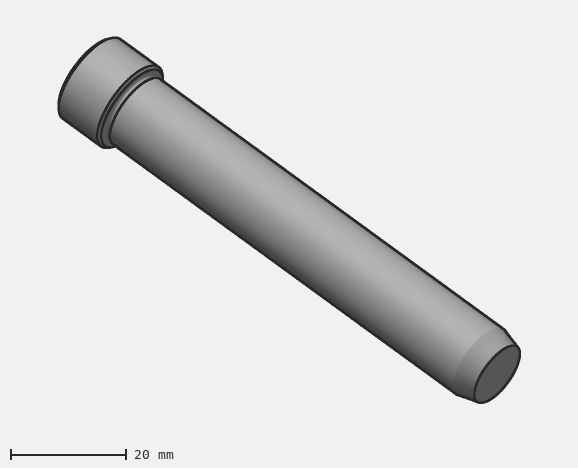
import cadquery as cq
import math

length = 95.0
head_radius = 17.0 / 2
head_length = 10.0
head_chamfer = 0.5
shank_radius = 14.0 / 2

groove_width = 1.0
groove_depth = 0.5

tip_length = 4.0
tip_angle = 15.0
tip_radius = shank_radius - tip_length * math.tan(math.radians(tip_angle))

groove_end = head_length + groove_width
groove_middle = head_length + groove_width / 2

profile = (
    cq.Workplane("XY")
    .moveTo(0, 0)
    .lineTo(0, head_radius - head_chamfer)
    .lineTo(head_chamfer, head_radius)
    .lineTo(head_length - head_chamfer, head_radius)
    .lineTo(head_length, head_radius - head_chamfer)
    .lineTo(head_length, shank_radius)
    .threePointArc((groove_middle, shank_radius - groove_depth), (groove_end, shank_radius))
    .lineTo(length - tip_length, shank_radius)
    .lineTo(length, tip_radius)
    .lineTo(length, 0)
    .close()
)

pin = profile.revolve(360, (0, 0, 0), (1, 0, 0))

result = pin.translate((-length / 2, 0, 0))